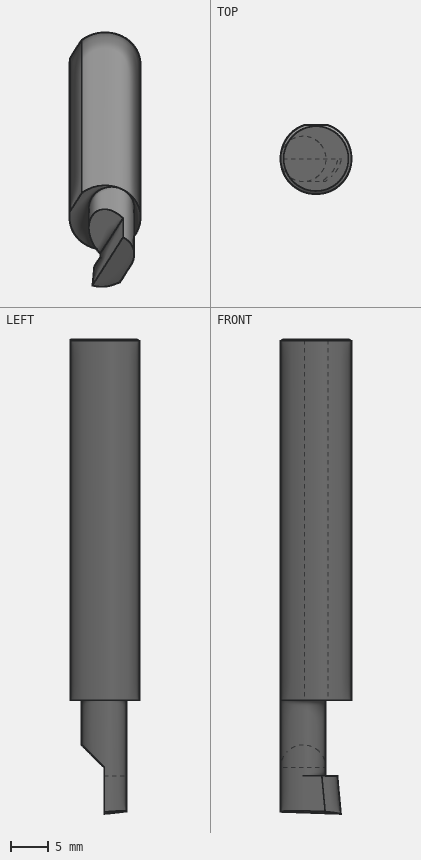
import cadquery as cq
import math


overall_length = 63.49
shank_radius = 9.53 / 2
reach = 15.2
shank_across_flat = 9.27
end_chamfer_radial = 0.43
end_chamfer_axial = 0.25

neck_radius = 3.03
neck_x = neck_radius - shank_radius
ramp_end_z = 6.25

tip_height = 5.1
tip_x = 3.35
tip_lean = 0.47
heel_facet_angle = 40
heel_facet_width = 0.90
heel_width = 2.10
relief_radius = 4.0

end_clearance_y = 5
end_clearance_x = 2


def make_shank():
    shank = cq.Workplane("XY").workplane(offset=reach).circle(shank_radius).extrude(overall_length - reach)
    shank = shank.faces(">Z").chamfer(end_chamfer_axial, end_chamfer_radial)
    flat_y = shank_across_flat - shank_radius
    flat_cutter = cq.Workplane("XY").box(
        2 * shank_radius, shank_radius, overall_length, centered=(True, False, False)
    ).translate((0, flat_y, 0))
    return shank.cut(flat_cutter)


def make_neck():
    neck = cq.Workplane("XY").center(neck_x, 0).circle(neck_radius).extrude(reach)
    cut_depth = 2 * neck_radius
    rake_cutter = (
        cq.Workplane("YZ")
        .polyline([(0, 0), (0, ramp_end_z), (cut_depth, ramp_end_z + cut_depth), (cut_depth, 0)])
        .close()
        .extrude(2 * shank_radius, both=True)
    )
    return neck.cut(rake_cutter)


def tip_profile(z, shift):
    """Plan outline of the tip at height z, with its outer edges moved inward by shift."""
    corner = cq.Vector(tip_x - shift, 0, z)
    heel_end_x = corner.x - heel_width
    facet_end_x = heel_end_x + heel_facet_width
    facet_end_y = heel_facet_width * math.tan(math.radians(heel_facet_angle)) - neck_radius
    facet_end = cq.Vector(facet_end_x, facet_end_y, z)

    chord = corner - facet_end
    sagitta = relief_radius - math.sqrt(relief_radius**2 - (chord.Length / 2) ** 2)
    outward = cq.Vector(chord.y, -chord.x, 0).normalized()
    relief_mid = (corner + facet_end) * 0.5 + outward * sagitta

    heel_start = cq.Vector(neck_x, -neck_radius, z)
    heel_end = cq.Vector(heel_end_x, -neck_radius, z)
    inner = cq.Vector(neck_x, 0, z)
    return cq.Wire.assembleEdges([
        cq.Edge.makeLine(inner, heel_start),
        cq.Edge.makeLine(heel_start, heel_end),
        cq.Edge.makeLine(heel_end, facet_end),
        cq.Edge.makeThreePointArc(facet_end, relief_mid, corner),
        cq.Edge.makeLine(corner, inner),
    ])


def make_tip():
    profiles = [tip_profile(0, 0), tip_profile(tip_height, tip_lean)]
    return cq.Workplane(obj=cq.Solid.makeLoft(profiles, True))


def make_end_clearance_cutter():
    """Block below the sloping end face, whose plane passes through the cutting corner."""
    normal = cq.Vector(
        math.tan(math.radians(end_clearance_x)),
        math.tan(math.radians(end_clearance_y)),
        1,
    )
    end_plane = cq.Plane(origin=(tip_x, 0, 0), xDir=(1, 0, -normal.x), normal=normal.toTuple())
    block_size = 6 * shank_radius
    return cq.Workplane(end_plane).rect(block_size, block_size).extrude(-reach)


lower_end = make_neck().union(make_tip()).cut(make_end_clearance_cutter())
result = make_shank().union(lower_end)